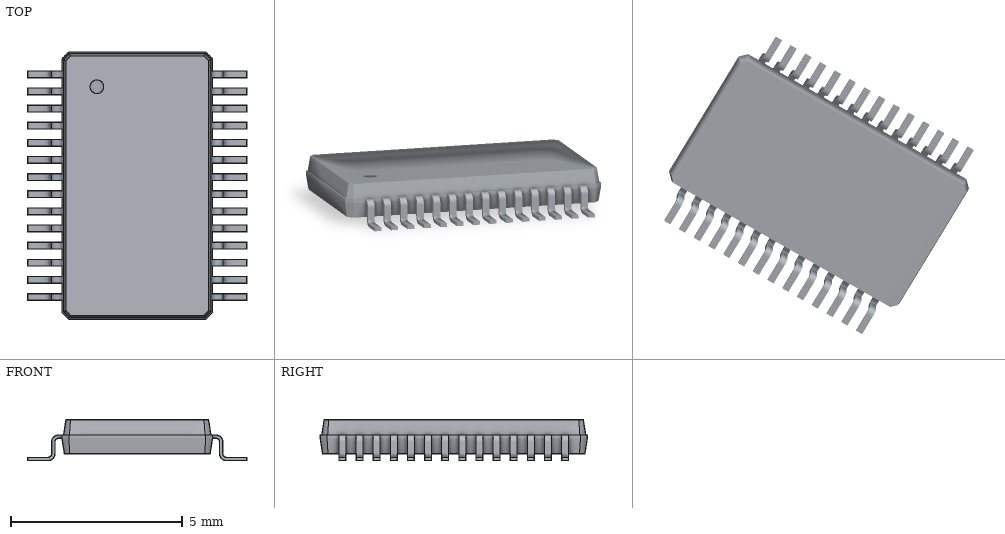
import cadquery as cq
import math

LEADS_PER_SIDE = 14
LEAD_ROW_LENGTH = 6.5
LEAD_PITCH = LEAD_ROW_LENGTH / (LEADS_PER_SIDE - 1)
LEAD_WIDTH = 0.2
LEAD_THICKNESS = 0.1
LEAD_SPAN = 6.4
SHIN_OFFSET = 0.7
INNER_BEND = 0.1
OUTER_BEND = INNER_BEND + LEAD_THICKNESS
LEAD_EMBED = 0.235

BODY_WIDTH = 4.4
BODY_LENGTH = 7.8
CORNER_CHAMFER = 0.2
STANDOFF = 0.2
BODY_TOP = 1.2
HALF_HEIGHT = (BODY_TOP - STANDOFF - LEAD_THICKNESS) / 2
TAPER_ANGLE = 9.0
UPPER_LEDGE = 0.05
BAND_BOTTOM = STANDOFF + HALF_HEIGHT
BAND_TOP = BAND_BOTTOM + LEAD_THICKNESS

MARKER_DIAMETER = 0.4
MARKER_X = -1.18
MARKER_Y = 2.885
MARKER_DEPTH = 0.05


def body_layer(base_height, thickness, inset=0, taper=0):
    """Chamfered rectangular slab; a negative thickness extrudes it downward.

    The inset is the same all round, so it shortens the corner chamfers as well.
    """
    chamfer = CORNER_CHAMFER - inset * (2 - math.sqrt(2))
    outline = (
        cq.Sketch()
        .rect(BODY_WIDTH - 2 * inset, BODY_LENGTH - 2 * inset)
        .vertices()
        .chamfer(chamfer)
    )
    base = cq.Workplane(origin=(0, 0, base_height)).placeSketch(outline)
    return base.extrude(thickness, taper=taper)


def make_body():
    band = body_layer(BAND_BOTTOM, LEAD_THICKNESS)
    upper = body_layer(BAND_TOP, HALF_HEIGHT, UPPER_LEDGE, TAPER_ANGLE)
    lower = body_layer(BAND_BOTTOM, -HALF_HEIGHT, 0, TAPER_ANGLE)
    marker = (
        cq.Workplane(origin=(MARKER_X, MARKER_Y, BODY_TOP))
        .circle(MARKER_DIAMETER / 2)
        .extrude(-MARKER_DEPTH)
    )
    return band.union(upper).union(lower).cut(marker)


def make_left_lead():
    """Lead on the -X side, centred on Y = 0, standing on Z = 0."""
    tip = -LEAD_SPAN / 2
    shin_outer = tip + SHIN_OFFSET
    shin_inner = shin_outer + LEAD_THICKNESS
    root = -BODY_WIDTH / 2 + LEAD_EMBED
    strip = (
        cq.Workplane("XZ")
        .moveTo(tip, 0)
        .lineTo(shin_inner - OUTER_BEND, 0)
        .radiusArc((shin_inner, OUTER_BEND), -OUTER_BEND)
        .lineTo(shin_inner, BAND_BOTTOM - INNER_BEND)
        .radiusArc((shin_inner + INNER_BEND, BAND_BOTTOM), INNER_BEND)
        .lineTo(root, BAND_BOTTOM)
        .lineTo(root, BAND_TOP)
        .lineTo(shin_outer + OUTER_BEND, BAND_TOP)
        .radiusArc((shin_outer, BAND_TOP - OUTER_BEND), -OUTER_BEND)
        .lineTo(shin_outer, LEAD_THICKNESS + INNER_BEND)
        .radiusArc((shin_outer - INNER_BEND, LEAD_THICKNESS), INNER_BEND)
        .lineTo(tip, LEAD_THICKNESS)
        .close()
    )
    return strip.extrude(LEAD_WIDTH / 2, both=True)


result = make_body()
left_lead = make_left_lead()
right_lead = left_lead.mirror("YZ")
first_lead_y = -LEAD_ROW_LENGTH / 2
for index in range(LEADS_PER_SIDE):
    lead_shift = (0, first_lead_y + index * LEAD_PITCH, 0)
    result = result.union(left_lead.translate(lead_shift))
    result = result.union(right_lead.translate(lead_shift))